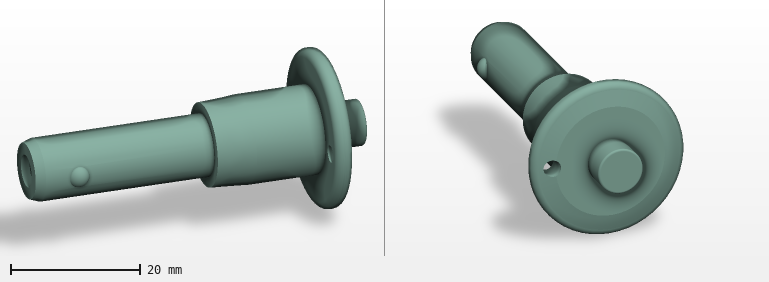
import cadquery as cq

length = 54.7
tip_bevel_length = 1.55
ball_station = 7.05
sleeve_start = 29.1
taper_end = 35.4
flange_bottom = 46.6
rim_lower = 47.85
rim_upper = 48.2
crown_start = 49.4
flange_top = 50.0

shank_diameter = 10.0
tip_diameter = 8.9
sleeve_diameter = 14.2
sleeve_end_diameter = 13.4
flange_diameter = 25.4
flange_flat_diameter = 22.9
crown_diameter = 23.2
flange_top_diameter = 18.05
button_diameter = 7.4
button_edge_radius = 0.35
recess_diameter = 5.15
recess_depth = 1.4

ball_radius = 1.8
ball_span = 11.85
hole_diameter = 2.75
hole_offset = 9.5


def cylinder(diameter, start, end):
    """Solid cylinder along the pin axis between two stations."""
    return cq.Workplane("XZ", origin=(0, start, 0)).circle(diameter / 2).extrude(start - end)


def make_shank():
    """Straight shank with a bevelled tip."""
    radius = shank_diameter / 2
    profile = (
        cq.Workplane("XY")
        .lineTo(tip_diameter / 2, 0)
        .lineTo(radius, tip_bevel_length)
        .lineTo(radius, sleeve_start)
        .lineTo(0, sleeve_start)
        .close()
    )
    return profile.revolve(360, (0, 0, 0), (0, 1, 0))


def make_sleeve():
    """Grip sleeve, tapering towards the shank."""
    radius = sleeve_diameter / 2
    profile = (
        cq.Workplane("XY")
        .moveTo(0, sleeve_start)
        .lineTo(sleeve_end_diameter / 2, sleeve_start)
        .lineTo(radius, taper_end)
        .lineTo(radius, flange_bottom)
        .lineTo(0, flange_bottom)
        .close()
    )
    return profile.revolve(360, (0, 0, 0), (0, 1, 0))


def make_flange():
    """Round flange with a rounded rim and a shallow conical crown, pierced by the lanyard hole."""
    radius = flange_diameter / 2
    profile = (
        cq.Workplane("XY")
        .moveTo(0, flange_bottom)
        .lineTo(flange_flat_diameter / 2, flange_bottom)
        .tangentArcPoint((radius, rim_lower), relative=False)
        .lineTo(radius, rim_upper)
        .tangentArcPoint((crown_diameter / 2, crown_start), relative=False)
        .lineTo(flange_top_diameter / 2, flange_top)
        .lineTo(0, flange_top)
        .close()
    )
    flange = profile.revolve(360, (0, 0, 0), (0, 1, 0))
    hole = cylinder(hole_diameter, flange_bottom, flange_top)
    return flange.cut(hole.translate((hole_offset, 0, 0)))


def make_button():
    """Release button with a rounded outer edge."""
    return cylinder(button_diameter, flange_top, length).faces(">Y").edges().fillet(button_edge_radius)


def make_ball(side):
    """Locking ball protruding from the shank on the +X (1) or -X (-1) side."""
    center_x = side * (ball_span / 2 - ball_radius)
    return cq.Workplane("XY").sphere(ball_radius).translate((center_x, ball_station, 0))


result = make_shank().union(make_sleeve()).union(make_flange()).union(make_button())
for side in (-1, 1):
    result = result.union(make_ball(side))
result = result.cut(cylinder(recess_diameter, 0, recess_depth))